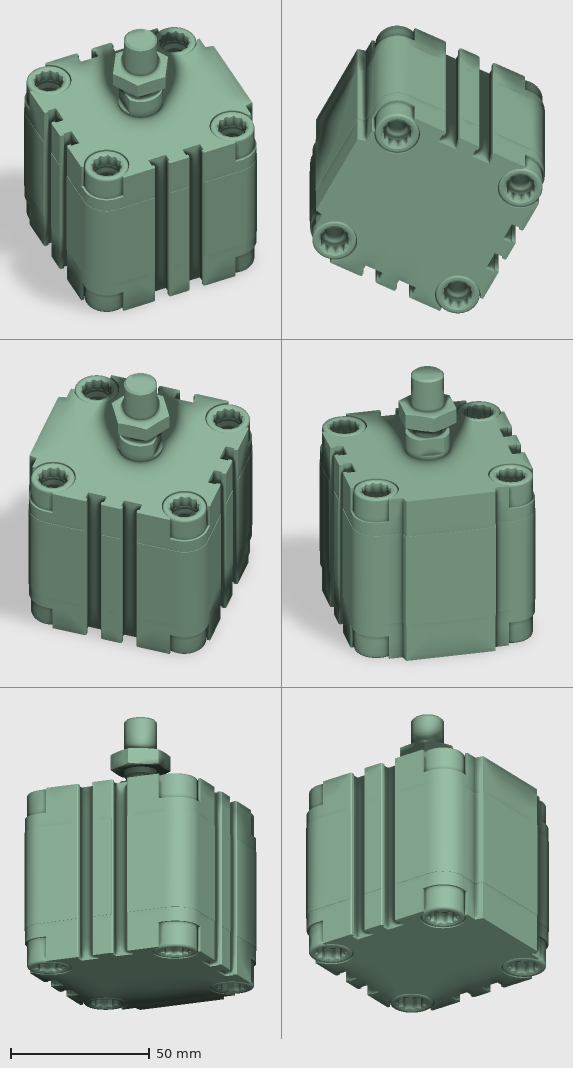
import cadquery as cq
import math


housing_height = 65.4
housing_width = 68.0
corner_radius = 9.0
cap_height = 14.55
cap_inset = 0.15

rib_height = 3.0
rib_base_half_width = 17.5
rib_top_half_width = 16.8
rib_foot_fillet = 0.3

slot_offset = 6.8
slot_depth = 4.9
slot_width = 7.0
slot_mouth_width = 5.5
slot_lip = 1.7
slot_lip_chamfer = 0.4

screw_spacing = 50.1
screw_head_diameter = 16.0
screw_head_height = 9.3
screw_head_fillet = 1.0
screw_head_gap = 0.2
corner_notch_start = 22.3

socket_mouth_diameter = 12.5
socket_cone_depth = 0.7
socket_root_diameter = 10.2
socket_tip_diameter = 11.4
socket_points = 12
socket_star_depth = 4.9
socket_depth = 5.9
bore_cone_diameter = 8.1
through_hole_diameter = 6.7

overall_height = 97.0
rod_diameter = 16.0
collar_height = 7.8
flat_width = 13.0
flat_start = 1.3
thread_diameter = 12.0
neck_diameter = 10.5
neck_height = 2.1
thread_chamfer = (thread_diameter - neck_diameter) / 2

nut_across_flats = 19.0
nut_height = 6.0
nut_bottom = 78.1
nut_face_diameter = 18.6
nut_chamfer_height = 0.3

half_width = housing_width / 2
notch_bottom = housing_height - screw_head_height
half_screw_spacing = screw_spacing / 2
cone_height = (bore_cone_diameter - through_hole_diameter) / 2


def cylinder(diameter, bottom, height):
    return cq.Workplane("XY").workplane(offset=bottom).circle(diameter / 2).extrude(height)


def cone(bottom_diameter, top_diameter, bottom, height):
    solid = cq.Solid.makeCone(bottom_diameter / 2, top_diameter / 2, height, cq.Vector(0, 0, bottom))
    return cq.Workplane(obj=solid)


def housing_section(bottom, height, inset):
    """Rounded square with the rib on its +Y side, its outline moved inward by the inset."""
    width = housing_width - 2 * inset
    block = (
        cq.Workplane("XY")
        .workplane(offset=bottom)
        .rect(width, width)
        .extrude(height)
        .edges("|Z")
        .fillet(corner_radius - inset)
    )
    rib_base = half_width - inset
    rib_top = half_width + rib_height - inset
    rib = (
        cq.Workplane("XY")
        .workplane(offset=bottom)
        .moveTo(-rib_base_half_width + inset, 0)
        .lineTo(-rib_base_half_width + inset, rib_base)
        .lineTo(-rib_top_half_width + inset, rib_top)
        .lineTo(rib_top_half_width - inset, rib_top)
        .lineTo(rib_base_half_width - inset, rib_base)
        .lineTo(rib_base_half_width - inset, 0)
        .close()
        .extrude(height)
    )
    foot_size = 2 * rib_foot_fillet
    feet = cq.selectors.BoxSelector(
        (-rib_base_half_width - foot_size, rib_base - foot_size, bottom),
        (rib_base_half_width + foot_size, rib_base + foot_size, bottom + height),
    )
    return block.union(rib).edges("|Z").edges(feet).fillet(rib_foot_fillet)


def slot_cutter():
    """One T-slot that runs the full height, open toward -Y."""
    half_mouth = slot_mouth_width / 2
    outer_mouth = half_mouth + slot_lip_chamfer
    face = -half_width
    half_profile = [
        (outer_mouth, face - slot_lip),
        (outer_mouth, face + cap_inset),
        (half_mouth, face + cap_inset + slot_lip_chamfer),
        (half_mouth, face + slot_lip),
        (slot_width / 2, face + slot_lip),
        (slot_width / 2, face + slot_depth),
    ]
    mirrored = [(-x, y) for x, y in reversed(half_profile)]
    return cq.Workplane("XY").polyline(half_profile + mirrored).close().extrude(housing_height)


def socket_cutter():
    """Twelve-point socket and the countersink of the bore, going down from the housing top."""
    top = housing_height
    star_points = []
    for i in range(2 * socket_points):
        radius = (socket_tip_diameter if i % 2 == 0 else socket_root_diameter) / 2
        angle = math.pi * i / socket_points
        star_points.append((radius * math.cos(angle), radius * math.sin(angle)))
    star = (
        cq.Workplane("XY")
        .workplane(offset=top - socket_star_depth)
        .polyline(star_points)
        .close()
        .extrude(socket_star_depth)
    )
    mouth = cone(socket_root_diameter, socket_mouth_diameter, top - socket_cone_depth, socket_cone_depth)
    recess = cylinder(socket_root_diameter, top - socket_depth, socket_depth)
    countersink_bottom = top - socket_depth - cone_height
    countersink = cone(through_hole_diameter, bore_cone_diameter, countersink_bottom, cone_height)
    return recess.union(star).union(mouth).union(countersink)


def notch_cutter():
    """Square notch over the corner of the top cap and a clearance hole for the screw head."""
    size = housing_width
    recess_diameter = screw_head_diameter + 2 * screw_head_gap
    start = corner_notch_start - half_screw_spacing
    notch = (
        cq.Workplane("XY")
        .workplane(offset=notch_bottom)
        .rect(size, size, centered=False)
        .extrude(size)
        .translate((start, start, 0))
    )
    return notch.union(cylinder(recess_diameter, notch_bottom, screw_head_height))


def screw_head():
    head = cylinder(screw_head_diameter, notch_bottom, screw_head_height)
    return head.faces(">Z").edges().fillet(screw_head_fillet)


def at_corners(shape):
    """Copies of a +X +Y corner shape at the four screws of both caps."""
    upper = shape.translate((half_screw_spacing, half_screw_spacing, 0))
    lower = upper.mirror("XY").translate((0, 0, housing_height))
    copies = []
    for corner in (upper, lower):
        right = [corner, corner.mirror("XZ")]
        copies += right + [copy.mirror("YZ") for copy in right]
    return copies


def make_housing():
    tube_height = housing_height - 2 * cap_height
    body = housing_section(cap_height, tube_height, 0)
    for bottom in (0, housing_height - cap_height):
        body = body.union(housing_section(bottom, cap_height, cap_inset))

    for side_angle in (0, 90, -90):
        for offset in (-slot_offset, slot_offset):
            slot = slot_cutter().translate((offset, 0, 0))
            body = body.cut(slot.rotate((0, 0, 0), (0, 0, 1), side_angle))

    for notch in at_corners(notch_cutter()):
        body = body.cut(notch)
    for head in at_corners(screw_head()):
        body = body.union(head)
    for socket in at_corners(socket_cutter()):
        body = body.cut(socket)

    through_holes = (
        cq.Workplane("XY")
        .rect(screw_spacing, screw_spacing, forConstruction=True)
        .vertices()
        .circle(through_hole_diameter / 2)
        .extrude(housing_height)
    )
    return body.cut(through_holes)


def make_rod():
    """Collar with two wrench flats, neck and threaded end, standing on the housing top."""
    collar = cylinder(rod_diameter, housing_height, collar_height)
    flat_bottom = housing_height + flat_start
    between_flats = (
        cq.Workplane("XY")
        .workplane(offset=flat_bottom)
        .rect(rod_diameter, flat_width)
        .extrude(collar_height)
    )
    base = cylinder(rod_diameter, housing_height, flat_start)
    collar = collar.intersect(base.union(between_flats))

    neck_bottom = housing_height + collar_height
    thread_bottom = neck_bottom + neck_height
    neck = cylinder(neck_diameter, neck_bottom, neck_height)
    thread = cylinder(thread_diameter, thread_bottom, overall_height - thread_bottom)
    thread = thread.faces("<Z or >Z").edges().chamfer(thread_chamfer)
    return collar.union(neck).union(thread)


def make_nut():
    """Hexagon nut with corners along Y and both faces chamfered by a shallow cone."""
    corner_diameter = nut_across_flats / math.cos(math.pi / 6)
    hexagon = (
        cq.Workplane("XY")
        .workplane(offset=nut_bottom)
        .polygon(6, corner_diameter)
        .extrude(nut_height)
        .rotate((0, 0, 0), (0, 0, 1), 30)
    )
    chamfered_blank = (
        cylinder(corner_diameter, nut_bottom, nut_height)
        .faces("<Z or >Z")
        .edges()
        .chamfer(nut_chamfer_height, (corner_diameter - nut_face_diameter) / 2)
    )
    return hexagon.intersect(chamfered_blank).cut(cylinder(thread_diameter, nut_bottom, nut_height))


housing = make_housing()
rod = make_rod()
nut = make_nut()

result = cq.Compound.makeCompound([housing.val(), rod.val(), nut.val()])